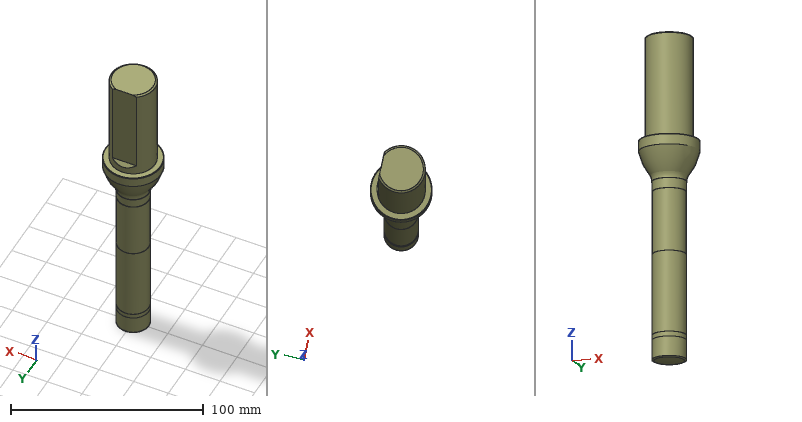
import cadquery as cq

total_length = 174.0
collar_top = 118.3
collar_bottom = 112.5
flare_bottom = 99.5
neck_top = 96.4
neck_band_bottom = 91.0
neck_bottom = 57.5
seat_top = 14.0
head_top = 11.3

shank_diameter = 25.0
collar_diameter = 32.0
neck_diameter = 17.7
body_diameter = 18.0
head_diameter = 18.1

shank_chamfer_width = 1.0
shank_chamfer_height = 0.7
collar_chamfer = 0.3
head_chamfer_width = 1.0
head_chamfer_height = 0.5
point_height = 0.3

flare_end_radius = 9.7
flare_foot_radius = 9.2
foot_sag = 0.21
flare_middle_radius = 14.0
flare_middle_height = 106.3

flat_distance = 10.5
flat_bottom = 124.0

shank_radius = shank_diameter / 2
collar_radius = collar_diameter / 2
neck_radius = neck_diameter / 2
body_radius = body_diameter / 2
head_radius = head_diameter / 2


def make_holder():
    """Shank, collar, curved flare and long neck, with a flat on the shank."""
    body = (
        cq.Workplane("XZ")
        .moveTo(0, head_top)
        .lineTo(head_radius, head_top)
        .lineTo(head_radius, seat_top)
        .lineTo(body_radius, seat_top)
        .lineTo(body_radius, neck_bottom)
        .lineTo(neck_radius, neck_bottom)
        .lineTo(neck_radius, neck_band_bottom)
        .lineTo(head_radius, neck_band_bottom)
        .lineTo(head_radius, neck_top)
        .lineTo(flare_foot_radius, neck_top)
        .sagittaArc((flare_end_radius, flare_bottom), foot_sag)
        .threePointArc((flare_middle_radius, flare_middle_height), (collar_radius, collar_bottom))
        .lineTo(collar_radius, collar_top - collar_chamfer)
        .lineTo(collar_radius - collar_chamfer, collar_top)
        .lineTo(shank_radius, collar_top)
        .lineTo(shank_radius, total_length - shank_chamfer_height)
        .lineTo(shank_radius - shank_chamfer_width, total_length)
        .lineTo(0, total_length)
        .close()
        .revolve(360, (0, 0, 0), (0, 1, 0))
    )
    depth = shank_radius - flat_distance
    cutter = (
        cq.Workplane("YZ")
        .moveTo(flat_distance, total_length)
        .lineTo(flat_distance, flat_bottom)
        .lineTo(shank_radius, flat_bottom - depth)
        .lineTo(shank_radius, total_length)
        .close()
        .extrude(shank_radius, both=True)
    )
    return body.cut(cutter)


def make_head():
    """Cutting head with a chamfered rim and a shallow conical point."""
    rim = point_height + head_chamfer_height
    return (
        cq.Workplane("XZ")
        .lineTo(head_radius - head_chamfer_width, point_height)
        .lineTo(head_radius, rim)
        .lineTo(head_radius, head_top)
        .lineTo(0, head_top)
        .close()
        .revolve(360, (0, 0, 0), (0, 1, 0))
    )


holder = make_holder()
head = make_head()
result = cq.Compound.makeCompound([holder.val(), head.val()])